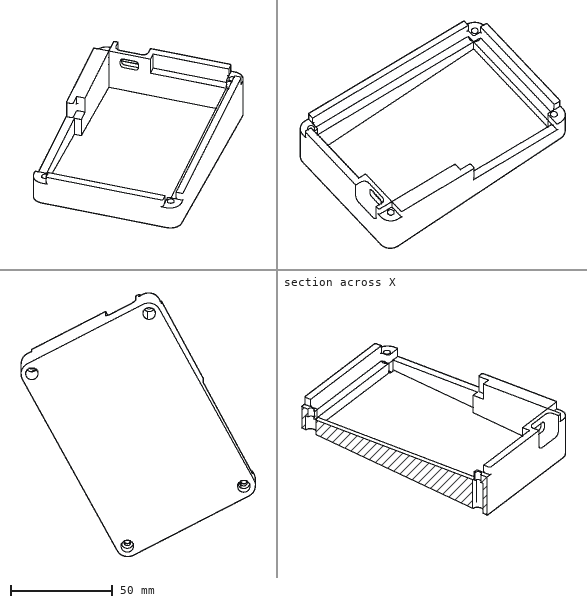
import cadquery as cq
import math

width = 76.3
length = 112.0
height = 26.7
underside_angle = 5.0
front_height = height - length * math.tan(math.radians(underside_angle))
corner_radius = 6.0

floor_thickness = 3.0
side_wall = 7.8
front_left_post = 8.1
end_wall = 8.1
side_lip = 3.5
end_lip = 3.8
edge_radius = 0.8
side_edge_radius = 0.5

post_drop = 4.3
ledge_drop = 8.8

low_wall = 4.3
low_wall_end = 2.9
left_recess_end = 9.1

pocket_left = 10.1
pocket_width = 16.7
pocket_depth = 5.9
pocket_drop = 11.4
pocket_radius = 2.8
opening_width = 9.4
opening_height = 5.3
opening_radius = 1.8
opening_drop = 6.0
thick_rear_end = 29.3

screw_diameter = 3.4
head_diameter = 6.0
head_drop = 9.0
screw_inset_x = 5.5
screw_inset_y = 5.6
front_left_inset_x = 5.9

left = -width / 2
right = width / 2
front = -length / 2
rear = length / 2


def block(x0, x1, y0, y1, z0, z1):
    """Box given by its limits along each axis."""
    return cq.Workplane("XY").box(x1 - x0, y1 - y0, z1 - z0, centered=False).translate((x0, y0, z0))


def above_slope(x0, x1, y0, y1, offset):
    """Block up to the top face whose bottom is the sloped underside raised by offset."""
    def bottom(y):
        return -front_height + offset - (height - front_height) * (y - front) / length

    side = [(y0, 0), (y1, 0), (y1, bottom(y1)), (y0, bottom(y0))]
    return cq.Workplane("YZ").polyline(side).close().extrude(x1 - x0).translate((x0, 0, 0))


def rounded_end(x, y, x_side, y_side, radius, drop):
    """Cutter that rounds a vertical edge at (x, y); the sides point into the wall."""
    dx = x_side * radius
    dy = y_side * radius
    bulge = 1 - math.sqrt(0.5)
    return (
        cq.Workplane("XY")
        .moveTo(x, y)
        .lineTo(x + dx, y)
        .threePointArc((x + dx * bulge, y + dy * bulge), (x, y + dy))
        .close()
        .extrude(-drop)
    )


body = above_slope(left, right, front, rear, 0).edges("|Z").fillet(corner_radius)

cavity_front = front + end_wall
cavity_rear = rear - end_wall
cavity_right = right - side_wall
body = body.cut(above_slope(left + side_wall, cavity_right, cavity_front, cavity_rear, floor_thickness))
body = body.cut(above_slope(left + low_wall, cavity_right, cavity_front, low_wall_end, floor_thickness))

lip_right = right - side_lip
recess_outline = [
    (left + side_lip, cavity_front),
    (left + front_left_post, cavity_front),
    (left + front_left_post, front + end_lip),
    (cavity_right, front + end_lip),
    (cavity_right, cavity_front),
    (lip_right, cavity_front),
    (lip_right, cavity_rear),
    (cavity_right, cavity_rear),
    (cavity_right, rear - end_lip),
    (left + thick_rear_end, rear - end_lip),
    (left + thick_rear_end, left_recess_end),
    (left + side_lip, left_recess_end),
]
upper_recess = cq.Workplane("XY").polyline(recess_outline).close().extrude(-post_drop)
lower_recess = cq.Workplane("XY").polyline(recess_outline).close().extrude(-ledge_drop)
body = body.cut(upper_recess)
body = body.cut(lower_recess.edges("|Z").fillet(edge_radius))

body = body.cut(block(left + thick_rear_end, 0, cavity_rear, rear - end_lip, -ledge_drop, 0))

low_gap = block(left, left + side_wall, cavity_front, low_wall_end, -ledge_drop, 0)
body = body.cut(low_gap)
for x, inward in ((left, 1), (left + side_lip, -1)):
    body = body.cut(rounded_end(x, low_wall_end, inward, 1, edge_radius, ledge_drop))

body = body.cut(block(left, left + front_left_post, front, cavity_front, -post_drop, 0))
body = body.cut(block(cavity_right, right, front, cavity_front, -post_drop, 0))
body = body.cut(block(cavity_right, right, cavity_rear, rear, -post_drop, 0))
rear_left_notch = block(left, left + side_wall, cavity_rear, rear, -post_drop, 0)
body = body.cut(rear_left_notch.edges("|Z and >X and <Y").fillet(edge_radius))

for x, y, x_side, y_side, radius in (
    (left + front_left_post, front, 1, 1, edge_radius),
    (cavity_right, front, -1, 1, edge_radius),
    (left + side_wall, rear, 1, -1, edge_radius),
    (cavity_right, rear, -1, -1, edge_radius),
    (right, cavity_front, -1, 1, side_edge_radius),
    (right, cavity_rear, -1, -1, side_edge_radius),
    (left, cavity_rear, 1, -1, side_edge_radius),
):
    body = body.cut(rounded_end(x, y, x_side, y_side, radius, post_drop))

body = body.cut(rounded_end(left, cavity_front, 1, -1, side_edge_radius, ledge_drop))

pocket = (
    block(left + pocket_left, left + pocket_left + pocket_width, rear - pocket_depth, rear + pocket_depth,
          -pocket_drop, pocket_drop)
    .edges("|Z or <Z")
    .fillet(pocket_radius)
)
body = body.cut(pocket)
opening = (
    cq.Workplane("XZ")
    .center(left + pocket_left + pocket_width / 2, -opening_drop)
    .rect(opening_width, opening_height)
    .extrude(end_wall)
    .edges("|Y")
    .fillet(opening_radius)
    .translate((0, rear, 0))
)
body = body.cut(opening)

for x, y in (
    (left + front_left_inset_x, front + screw_inset_y),
    (right - screw_inset_x, front + screw_inset_y),
    (left + screw_inset_x, rear - screw_inset_y),
    (right - screw_inset_x, rear - screw_inset_y),
):
    body = body.cut(cq.Workplane("XY").center(x, y).circle(screw_diameter / 2).extrude(-height))
    head = cq.Workplane("XY", origin=(x, y, -head_drop)).circle(head_diameter / 2)
    body = body.cut(head.extrude(head_drop - height))

result = body